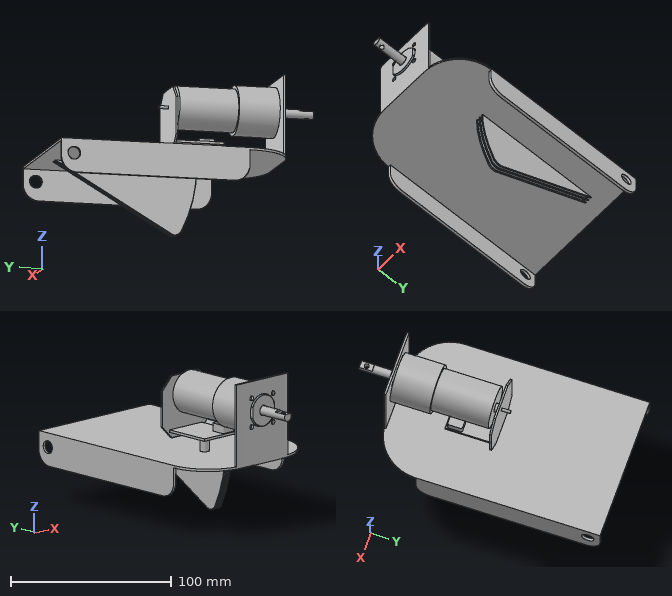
import cadquery as cq
import math


OVERALL_LENGTH = 174.5

BASE_WIDTH = 96.0
BASE_LENGTH = 151.5
BASE_THICKNESS = 1.5
BASE_CORNER_RADIUS = 30.0
FLANGE_THICKNESS = 2.0
FLANGE_BOTTOM = -21.5
FLANGE_CORNER_RADIUS = 10.0
FLANGE_HOLE_DIAMETER = 8.0
FLANGE_HOLE_INSET = 8.2
FLANGE_HOLE_DROP = 9.2
FRONT_PLATE_WIDTH = 44.7
FRONT_PLATE_HEIGHT = 52.7
FRONT_PLATE_THICKNESS = 1.5
BOSS_HOLE_DIAMETER = 21.0
SCREW_HOLE_DIAMETER = 3.0
SCREW_SPACING = 18.5

AXIS_HEIGHT = 32.6
GEARBOX_DIAMETER = 32.0
GEARBOX_FRONT = 2.1
GEARBOX_REAR = 28.3
CAN_DIAMETER = 27.5
CAN_REAR = 66.1
HUB_DIAMETER = 6.0
HUB_REAR = 68.4
REAR_SHAFT_DIAMETER = 2.0
REAR_SHAFT_END = 76.0
BOSS_DIAMETER = 19.9
BOSS_FLAT_WIDTH = 18.5
BOSS_FRONT = -1.0
SHAFT_DIAMETER = 6.0
SHAFT_BORE_DIAMETER = 6.5
SHAFT_END = BASE_LENGTH - OVERALL_LENGTH
SHAFT_FLAT_LENGTH = 8.7
SHAFT_FLAT_HEIGHT = 1.7
CROSS_HOLE_DIAMETER = 3.0
CROSS_HOLE_INSET = 4.4

BACK_PLATE_SIZE = 40.0
BACK_PLATE_CHAMFER = 8.2
BACK_PLATE_BOTTOM = 4.0
BACK_PLATE_FRONT = 69.1
BACK_PLATE_THICKNESS = 1.2
SHELF_WIDTH = 28.0
SHELF_FRONT = 37.7
SHELF_BOTTOM = 8.0
SHELF_THICKNESS = 1.5
BLOCK_SIZE = 9.8
BLOCK_HEIGHT = 5.2
BLOCK_CORNER_RADIUS = 1.0
BLOCK_CENTER_Y = 43.8
BLOCK_CENTER_X = 8.4
POST_DIAMETER = 6.0
POST_X = -8.4
POST_Y = 43.3

SECTOR_RADIUS = 91.3
SECTOR_ANGLE = 30.0
SECTOR_TIP_RADIUS = 4.9
SECTOR_APEX_Y = 139.3
SECTOR_CENTER_X = 17.1
RIB_THICKNESS = 0.9
GROOVE_WIDTH = 1.5
GROOVE_DEPTH = 0.5
GROOVE_COUNT = 2


def rod(diameter, front, rear):
    """Cylinder along the motor axis between two Y positions."""
    plane = cq.Workplane("XZ", origin=(0, front, AXIS_HEIGHT))
    return plane.circle(diameter / 2).extrude(front - rear)


def make_bracket():
    base = (
        cq.Workplane("XY", origin=(0, BASE_LENGTH / 2, -BASE_THICKNESS))
        .rect(BASE_WIDTH, BASE_LENGTH)
        .extrude(BASE_THICKNESS + FRONT_PLATE_HEIGHT)
        .edges("|Z and <Y")
        .fillet(BASE_CORNER_RADIUS)
    )
    clearance = cq.Workplane("XY").box(
        BASE_WIDTH, BASE_LENGTH, FRONT_PLATE_HEIGHT, centered=(True, False, False)
    )
    front_plate = cq.Workplane("XY").box(
        FRONT_PLATE_WIDTH, FRONT_PLATE_THICKNESS, FRONT_PLATE_HEIGHT, centered=(True, False, False)
    )
    bracket = base.cut(clearance.cut(front_plate))

    flange_length = BASE_LENGTH - BASE_CORNER_RADIUS
    for side in (-1, 1):
        flange = (
            cq.Workplane("XY")
            .box(FLANGE_THICKNESS, flange_length, -FLANGE_BOTTOM, centered=(True, False, False))
            .edges("|X and <Z")
            .fillet(FLANGE_CORNER_RADIUS)
            .translate((side * (BASE_WIDTH - FLANGE_THICKNESS) / 2, BASE_CORNER_RADIUS, FLANGE_BOTTOM))
        )
        bracket = bracket.union(flange)

    pivot_hole = (
        cq.Workplane("YZ", origin=(0, BASE_LENGTH - FLANGE_HOLE_INSET, -FLANGE_HOLE_DROP))
        .circle(FLANGE_HOLE_DIAMETER / 2)
        .extrude(BASE_WIDTH / 2, both=True)
    )
    screw_holes = (
        cq.Workplane("XZ", origin=(0, 0, AXIS_HEIGHT))
        .rect(SCREW_SPACING, SCREW_SPACING, forConstruction=True)
        .vertices()
        .circle(SCREW_HOLE_DIAMETER / 2)
        .extrude(-FRONT_PLATE_THICKNESS)
    )
    boss_hole = rod(BOSS_HOLE_DIAMETER, 0, FRONT_PLATE_THICKNESS)
    return bracket.cut(pivot_hole).cut(screw_holes).cut(boss_hole)


def make_motor():
    between_flats = cq.Workplane("XY", origin=(0, BOSS_FRONT, AXIS_HEIGHT)).box(
        BOSS_FLAT_WIDTH, GEARBOX_FRONT - BOSS_FRONT, BOSS_DIAMETER, centered=(True, False, True)
    )
    boss = rod(BOSS_DIAMETER, BOSS_FRONT, GEARBOX_FRONT).intersect(between_flats)
    shaft = rod(SHAFT_DIAMETER, SHAFT_END, GEARBOX_REAR)
    flat_cut = cq.Workplane("XY", origin=(0, SHAFT_END, AXIS_HEIGHT + SHAFT_FLAT_HEIGHT)).box(
        SHAFT_DIAMETER, SHAFT_FLAT_LENGTH, SHAFT_DIAMETER, centered=(True, False, False)
    )
    cross_hole = (
        cq.Workplane("XY", origin=(0, SHAFT_END + CROSS_HOLE_INSET, AXIS_HEIGHT))
        .circle(CROSS_HOLE_DIAMETER / 2)
        .extrude(SHAFT_DIAMETER, both=True)
    )
    return (
        rod(GEARBOX_DIAMETER, GEARBOX_FRONT, GEARBOX_REAR)
        .union(boss)
        .cut(rod(SHAFT_BORE_DIAMETER, BOSS_FRONT, GEARBOX_FRONT))
        .union(shaft.cut(flat_cut).cut(cross_hole))
        .union(rod(CAN_DIAMETER, GEARBOX_REAR, CAN_REAR))
        .union(rod(HUB_DIAMETER, CAN_REAR, HUB_REAR))
        .union(rod(REAR_SHAFT_DIAMETER, HUB_REAR, REAR_SHAFT_END))
    )


def make_sensor_stand():
    back_plate = (
        cq.Workplane("XY", origin=(0, BACK_PLATE_FRONT, BACK_PLATE_BOTTOM))
        .box(BACK_PLATE_SIZE, BACK_PLATE_THICKNESS, BACK_PLATE_SIZE, centered=(True, False, False))
        .edges("|Y")
        .chamfer(BACK_PLATE_CHAMFER)
        .cut(rod(REAR_SHAFT_DIAMETER, HUB_REAR, REAR_SHAFT_END))
    )
    shelf = cq.Workplane("XY", origin=(0, SHELF_FRONT, SHELF_BOTTOM)).box(
        SHELF_WIDTH, BACK_PLATE_FRONT - SHELF_FRONT, SHELF_THICKNESS, centered=(True, False, False)
    )
    block = (
        cq.Workplane("XY", origin=(BLOCK_CENTER_X, BLOCK_CENTER_Y, SHELF_BOTTOM + SHELF_THICKNESS))
        .rect(BLOCK_SIZE, BLOCK_SIZE)
        .extrude(BLOCK_HEIGHT)
        .edges("|Z")
        .fillet(BLOCK_CORNER_RADIUS)
    )
    post = cq.Workplane("XY", origin=(POST_X, POST_Y, 0)).circle(POST_DIAMETER / 2).extrude(SHELF_BOTTOM)
    return back_plate.union(shelf).union(block).union(post)


def sector_layer(start_x, thickness, inset):
    """Pie slice under the base, its outline set in all round and its tip rounded."""

    def on_arc(angle):
        turn = math.radians(angle)
        return -SECTOR_RADIUS * math.cos(turn), -SECTOR_RADIUS * math.sin(turn)

    return (
        cq.Workplane("YZ", origin=(start_x, SECTOR_APEX_Y, -BASE_THICKNESS))
        .lineTo(*on_arc(0))
        .threePointArc(on_arc(SECTOR_ANGLE / 2), on_arc(SECTOR_ANGLE))
        .close()
        .offset2D(-inset)
        .extrude(thickness)
        .edges("|X and <Z")
        .fillet(SECTOR_TIP_RADIUS - inset)
    )


def make_sector():
    pitch = RIB_THICKNESS + GROOVE_WIDTH
    first_rib = SECTOR_CENTER_X - (GROOVE_COUNT * pitch + RIB_THICKNESS) / 2
    sector = sector_layer(first_rib, RIB_THICKNESS, 0)
    for groove in range(GROOVE_COUNT):
        groove_start = first_rib + groove * pitch + RIB_THICKNESS
        core = sector_layer(groove_start, GROOVE_WIDTH, GROOVE_DEPTH)
        rib = sector_layer(groove_start + GROOVE_WIDTH, RIB_THICKNESS, 0)
        sector = sector.union(core).union(rib)
    return sector


bracket = make_bracket()
motor = make_motor()
sensor_stand = make_sensor_stand()
sector = make_sector()

result = cq.Compound.makeCompound([bracket.val(), motor.val(), sensor_stand.val(), sector.val()])